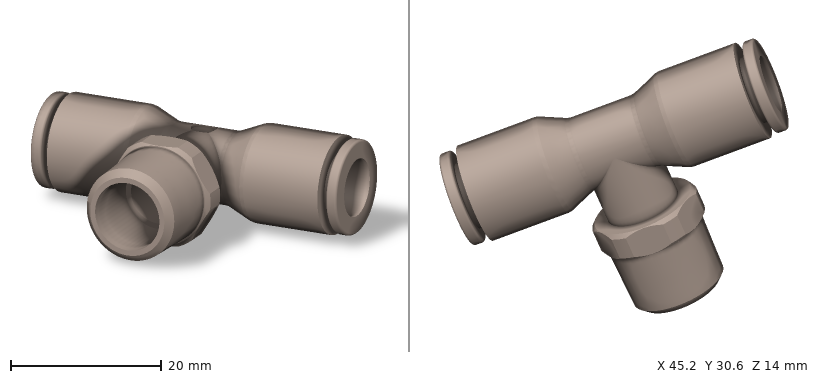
import cadquery as cq
import math


run_length = 45.2
bore_radius = 4.0
core_radius = 5.05
socket_radius = 6.8
socket_end = 20.0
socket_start = 8.7
cone_start = 4.65
cone_blend_radius = 1.6

collar_radius = 6.5
collar_thickness = 1.55
collar_edge_round = 0.3
collar_neck_radius = 4.6

recess_radius = 1.75
recess_floor = 4.7

hex_start = 10.15
hex_thickness = 4.05
hex_across_flats = 14.0
hex_corner_diameter = 15.0
hex_chamfer = 0.55
thread_end = 23.75
thread_start_radius = 6.75
thread_taper = 1 / 32
thread_chamfer = 1.0
counterbore_radius = 4.75

hex_end = hex_start + hex_thickness


def cylinder_along_x(start, end, radius):
    """Solid cylinder on the X axis from x = start to x = end."""
    return cq.Workplane("YZ", origin=(start, 0, 0)).circle(radius).extrude(end - start)


def cylinder_along_branch(start, end, radius):
    """Solid cylinder on the branch axis between two distances from the run axis."""
    return cq.Workplane("XZ", origin=(0, -start, 0)).circle(radius).extrude(end - start)


def revolve_about_branch(profile):
    """Solid of revolution from (radius, distance along the branch) points."""
    points = [(radius, -distance) for radius, distance in profile]
    return cq.Workplane("XY").polyline(points).close().revolve(360, (0, 0), (0, 1))


def make_run_half():
    """Core, blended cone and socket on the +X side."""
    profile = [
        (0, 0),
        (0, core_radius),
        (cone_start, core_radius),
        (socket_start, socket_radius),
        (socket_end, socket_radius),
        (socket_end, 0),
    ]
    body = cq.Workplane("XY").polyline(profile).close().revolve(360, (0, 0), (1, 0))
    cone_edges = body.edges("%CIRCLE").edges("not >X").edges("not <X")
    return cone_edges.fillet(cone_blend_radius)


def make_collar():
    """Release collar and its neck on the +X side."""
    run_end = run_length / 2
    disc = cylinder_along_x(run_end - collar_thickness, run_end, collar_radius)
    disc = disc.edges("%CIRCLE").fillet(collar_edge_round)
    neck = cylinder_along_x(socket_start, run_end - collar_thickness / 2, collar_neck_radius)
    return disc.union(neck)


def make_hex():
    """Hexagon with turned-down corners, chamfered at both ends."""
    corner_to_corner = hex_across_flats / math.cos(math.radians(30))
    prism = (
        cq.Workplane("XZ", origin=(0, -hex_start, 0))
        .polygon(6, corner_to_corner)
        .extrude(hex_thickness)
    )
    turned = cylinder_along_branch(hex_start, hex_end, hex_corner_diameter / 2)
    return prism.intersect(turned.edges("%CIRCLE").chamfer(hex_chamfer))


def make_thread():
    """Tapered thread envelope with a chamfered tip."""
    chamfer_start = thread_end - thread_chamfer
    tip_radius = thread_start_radius - thread_taper * (chamfer_start - hex_end)
    return revolve_about_branch([
        (0, hex_end),
        (thread_start_radius, hex_end),
        (tip_radius, chamfer_start),
        (tip_radius - thread_chamfer, thread_end),
        (0, thread_end),
    ])


run_half = make_run_half().union(make_collar())
run = run_half.union(run_half.mirror("YZ"))

stem = cylinder_along_branch(0, hex_start, core_radius)
outside = run.union(stem).union(make_hex()).union(make_thread())

run_bore = cylinder_along_x(-run_length / 2, run_length / 2, bore_radius)
branch_bore = cylinder_along_branch(0, thread_end, bore_radius)
counterbore = cylinder_along_branch(hex_end, thread_end, counterbore_radius)
recess = (
    cq.Workplane("XY", origin=(0, 0, recess_floor))
    .circle(recess_radius)
    .extrude(core_radius - recess_floor)
)

result = outside.cut(run_bore).cut(branch_bore).cut(counterbore).cut(recess)